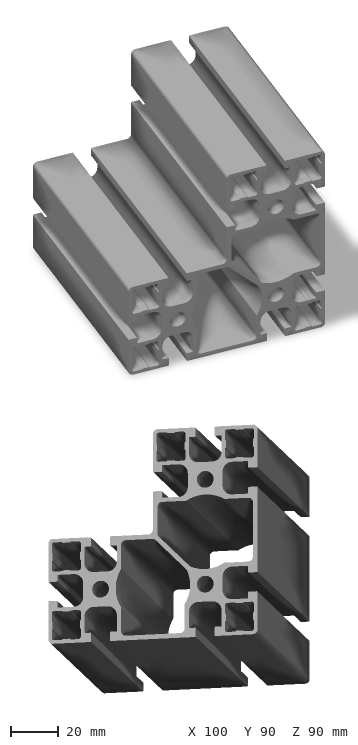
import cadquery as cq
import math

LENGTH = 100.0
CELL = 45.0
OUTER = 2 * CELL
CORNER_RADIUS = 2.0
WALL = 2.0
THIN_WALL = 1.5
CHAMBER_WALL = 1.8
WEB = 2.0
BORE_DIAMETER = 7.2

SLOT_OPENING = 8.2
SLOT_WIDTH = 14.0
SLOT_DEPTH = 15.0
SLOT_FLOOR_RADIUS = 4.0
LIP = 4.0
LIP_RADIUS = 0.3

GROOVE_WIDTH = 0.6
GROOVE_DEPTH = 0.2
GROOVE_FIRST = 6.2
GROOVE_PITCH = 2.0

TUBE_RADIUS = 1.0
PAD_HEIGHT = 0.35
PAD_TOP = 3.0
PAD_BASE = 3.8

CORE_HALF = 6.5
BULGE_HALF_WIDTH = 8.2

HALF_CELL = CELL / 2
TUBE_SIZE = HALF_CELL - SLOT_WIDTH / 2 - 2 * THIN_WALL
TUBE_OFFSET = HALF_CELL - THIN_WALL - TUBE_SIZE / 2
CHAMBER_HALF = HALF_CELL - SLOT_WIDTH / 2 - CHAMBER_WALL

LEFT, RIGHT, DOWN, UP = (-1, 0), (1, 0), (0, -1), (0, 1)

CORNER_CELL = (HALF_CELL, HALF_CELL)
UPPER_CELL = (HALF_CELL, OUTER - HALF_CELL)
SIDE_CELL = (OUTER - HALF_CELL, HALF_CELL)
CELLS = [
    (CORNER_CELL, [LEFT, DOWN], [(-1, -1)]),
    (UPPER_CELL, [LEFT, UP, RIGHT], [(-1, 1), (1, 1)]),
    (SIDE_CELL, [UP, RIGHT, DOWN], [(1, 1), (1, -1)]),
]

SECTION = cq.Plane(
    origin=(LENGTH / 2, OUTER / 2, -OUTER / 2),
    xDir=(0, -1, 0),
    normal=(-1, 0, 0),
)


def sketch_at(center=(0, 0)):
    """Section workplane with its origin moved to a (u, v) point."""
    return cq.Workplane(SECTION).center(*center)


def section_point(point, depth=0.0):
    """Global coordinates of a (u, v) point at a depth from the +X end."""
    return SECTION.toWorldCoords((*point, depth)).toTuple()


def turn(solid, center, angle):
    """Rotate a solid in the section plane, counter-clockwise in (u, v), about a point."""
    return solid.rotate(section_point(center), section_point(center, LENGTH), angle)


def l_body():
    """Solid L-shaped bar with all its long edges rounded."""
    outline = [(0, 0), (OUTER, 0), (OUTER, CELL), (CELL, CELL), (CELL, OUTER), (0, OUTER)]
    bar = sketch_at().polyline(outline).close().extrude(LENGTH)
    return bar.edges("|X").fillet(CORNER_RADIUS)


def slot(center, direction):
    """T-slot cutter opening on one side of a cell, flaring over the rounded lip edges."""
    floor = HALF_CELL - SLOT_DEPTH
    lip_back = HALF_CELL - LIP
    half_width = SLOT_WIDTH / 2
    half_opening = SLOT_OPENING / 2
    flare = half_opening + LIP_RADIUS
    cutter = (
        sketch_at(center)
        .moveTo(-half_width + SLOT_FLOOR_RADIUS, floor)
        .lineTo(half_width - SLOT_FLOOR_RADIUS, floor)
        .radiusArc((half_width, floor + SLOT_FLOOR_RADIUS), -SLOT_FLOOR_RADIUS)
        .lineTo(half_width, lip_back)
        .lineTo(flare, lip_back)
        .radiusArc((half_opening, lip_back + LIP_RADIUS), LIP_RADIUS)
        .lineTo(half_opening, HALF_CELL - LIP_RADIUS)
        .radiusArc((flare, HALF_CELL), LIP_RADIUS)
        .lineTo(-flare, HALF_CELL)
        .radiusArc((-half_opening, HALF_CELL - LIP_RADIUS), LIP_RADIUS)
        .lineTo(-half_opening, lip_back + LIP_RADIUS)
        .radiusArc((-flare, lip_back), LIP_RADIUS)
        .lineTo(-half_width, lip_back)
        .lineTo(-half_width, floor + SLOT_FLOOR_RADIUS)
        .radiusArc((-half_width + SLOT_FLOOR_RADIUS, floor), -SLOT_FLOOR_RADIUS)
        .close()
        .extrude(LENGTH)
    )
    du, dv = direction
    angle = math.degrees(math.atan2(dv, du)) - 90
    return turn(cutter, center, angle)


def tube(center):
    """Square tube cutter, notched by a shallow bevelled pad on each wall."""
    half = TUBE_SIZE / 2
    cutter = sketch_at(center).rect(TUBE_SIZE, TUBE_SIZE).extrude(LENGTH)
    cutter = cutter.edges("|X").fillet(TUBE_RADIUS)
    pad_outline = [
        (-PAD_BASE / 2, half),
        (-PAD_TOP / 2, half - PAD_HEIGHT),
        (PAD_TOP / 2, half - PAD_HEIGHT),
        (PAD_BASE / 2, half),
    ]
    pad = sketch_at(center).polyline(pad_outline).close().extrude(LENGTH)
    for quarter in range(4):
        cutter = cutter.cut(turn(pad, center, 90 * quarter))
    return cutter


def upper_chamber():
    """Large chamber above the web, bulging towards the corner and upper cores."""
    left = WALL
    right = CELL - WALL
    bottom = CELL - CHAMBER_HALF
    top = CELL + CHAMBER_HALF
    crown_low = HALF_CELL + CORE_HALF
    crown_high = OUTER - crown_low
    bulge_start = HALF_CELL - BULGE_HALF_WIDTH
    bulge_end = HALF_CELL + BULGE_HALF_WIDTH

    sagitta = bottom - crown_low
    radius = (BULGE_HALF_WIDTH**2 + sagitta**2) / (2 * sagitta)
    rise = WEB / math.sqrt(2)
    drop = crown_low + radius - HALF_CELL - rise
    web_u = HALF_CELL + (drop - math.sqrt(2 * radius**2 - drop**2)) / 2

    chamber = (
        sketch_at()
        .moveTo(left, bottom)
        .lineTo(bulge_start, bottom)
        .threePointArc((HALF_CELL, crown_low), (web_u, web_u + rise))
        .lineTo(right, right + rise)
        .lineTo(right, top)
        .lineTo(bulge_end, top)
        .threePointArc((HALF_CELL, crown_high), (bulge_start, top))
        .lineTo(left, top)
        .close()
        .extrude(LENGTH)
    )
    corners = [(left, bottom), (left, top), (right, top)]
    for corner in corners:
        edge = cq.selectors.NearestToPointSelector(section_point(corner, LENGTH / 2))
        chamber = chamber.edges("|X").edges(edge).fillet(CORNER_RADIUS)
    return chamber


def mirror_across_diagonal(solid):
    """Swap u and v by mirroring in the plane of the web."""
    normal = SECTION.xDir - SECTION.yDir
    return solid.mirror(normal, SECTION.origin)


def bore(center):
    """Round core hole cutter through the middle of a cell."""
    return sketch_at(center).circle(BORE_DIAMETER / 2).extrude(LENGTH)


def marking_groove(u):
    """Shallow V-groove cutter in the lower wall of the corner cell's left slot."""
    wall_v = HALF_CELL - SLOT_WIDTH / 2
    outline = [
        (u - GROOVE_WIDTH / 2, wall_v),
        (u, wall_v - GROOVE_DEPTH),
        (u + GROOVE_WIDTH / 2, wall_v),
    ]
    return sketch_at().polyline(outline).close().extrude(LENGTH)


result = l_body()

chamber = upper_chamber()
result = result.cut(chamber).cut(mirror_across_diagonal(chamber))

for center, slot_sides, tube_corners in CELLS:
    result = result.cut(bore(center))
    for side in slot_sides:
        result = result.cut(slot(center, side))
    for u_sign, v_sign in tube_corners:
        tube_center = (center[0] + u_sign * TUBE_OFFSET, center[1] + v_sign * TUBE_OFFSET)
        result = result.cut(tube(tube_center))

for groove_u in (GROOVE_FIRST, GROOVE_FIRST + GROOVE_PITCH):
    result = result.cut(marking_groove(groove_u))